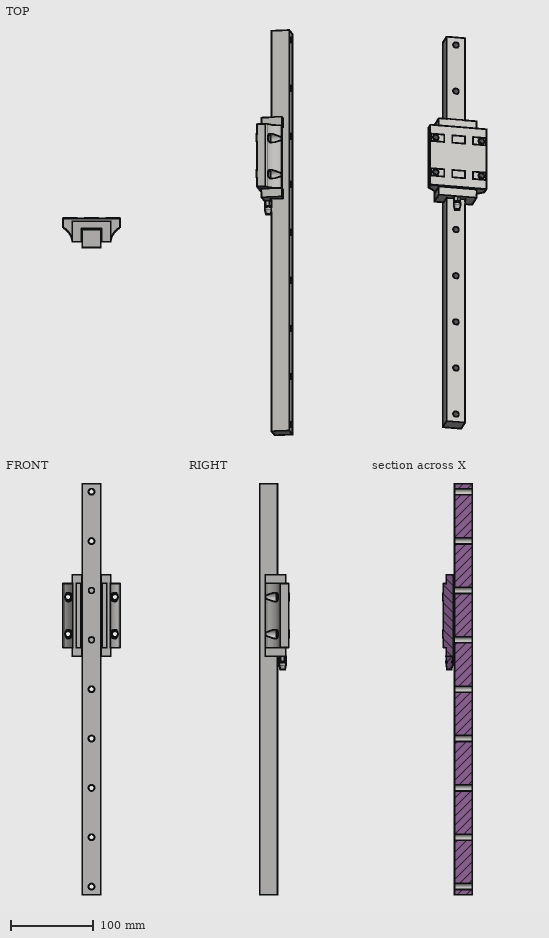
import cadquery as cq

RAIL_LENGTH = 500.0
RAIL_WIDTH = 23.0
RAIL_HEIGHT = 22.0
RAIL_HOLE_DIAMETER = 7.0
RAIL_HOLE_PITCH = 60.0
RAIL_HOLE_COUNT = 9

CARRIAGE_CENTER_Z = 339.5
CARRIAGE_BACK_Y = 35.5
CARRIAGE_FRONT_Y = 7.0
CHANNEL_ROOF_Y = 23.0
CORE_WIDTH = 47.0

BLOCK_LENGTH = 78.5
BLOCK_CHANNEL_WIDTH = 26.0
FLANGE_WIDTH = 70.0
FLANGE_SIDE_END_Y = 25.0
FLANGE_EDGE_BEVEL = 2.0
SWEEP_END_Y = 8.5
SWEEP_RADIUS = 21.0
CORE_BEVEL_WIDTH = 0.5
END_CHAMFER = 0.5

RECESS_WIDTH = 37.0
RECESS_DEPTH = 2.5

CAPPED_LENGTH = 99.5
CAP_LENGTH = (CAPPED_LENGTH - BLOCK_LENGTH) / 2
CAP_BACK_Y = 32.0
CAP_CHANNEL_WIDTH = 24.0

MOUNT_SPACING_X = 57.0
MOUNT_SPACING_Z = 45.0
MOUNT_HOLE_DIAMETER = 7.0
SPOTFACE_DIAMETER = 11.0
SPOTFACE_CONE_START_Y = 20.5
SPOTFACE_CONE_LENGTH = 2.0

PAD_THICKNESS = 0.7
PAD_WIDTH = 16.0
PAD_LENGTH = 9.5
PAD_PITCH_X = 26.0

NIPPLE_Y = 28.0
NIPPLE_HEX_FLATS = 7.5
NIPPLE_HEX_LENGTH = 6.0
NIPPLE_GROOVE_RADIUS = 3.0
NIPPLE_HEAD_START = 7.5
NIPPLE_HEAD_RADIUS = 4.25
NIPPLE_HEAD_END = 10.5
NIPPLE_TIP_RADIUS = 3.0
NIPPLE_LENGTH = 16.0


def box_along_z(width, start_y, end_y, length, center_z, center_x=0):
    """Box from start_y to end_y, centred on center_x and center_z."""
    center = (center_x, (start_y + end_y) / 2, center_z)
    return cq.Workplane("XY").box(width, end_y - start_y, length).translate(center)


def cylinder_along_y(diameter, x, z, start_y, end_y):
    start = cq.Vector(x, start_y, z)
    return cq.Workplane(cq.Solid.makeCylinder(diameter / 2, end_y - start_y, start, cq.Vector(0, 1, 0)))


def make_rail():
    rail = box_along_z(RAIL_WIDTH, 0, RAIL_HEIGHT, RAIL_LENGTH, RAIL_LENGTH / 2)
    first_hole_z = (RAIL_LENGTH - (RAIL_HOLE_COUNT - 1) * RAIL_HOLE_PITCH) / 2
    for index in range(RAIL_HOLE_COUNT):
        hole_z = first_hole_z + index * RAIL_HOLE_PITCH
        rail = rail.cut(cylinder_along_y(RAIL_HOLE_DIAMETER, 0, hole_z, 0, RAIL_HEIGHT))
    return rail


def flanged_block():
    """Block with flanges that sweep down into its core, with a channel for the rail."""
    flange_x = FLANGE_WIDTH / 2
    core_x = CORE_WIDTH / 2
    half = (
        cq.Workplane("XY", origin=(0, 0, CARRIAGE_CENTER_Z - BLOCK_LENGTH / 2))
        .moveTo(0, CARRIAGE_BACK_Y)
        .lineTo(flange_x, CARRIAGE_BACK_Y)
        .lineTo(flange_x, FLANGE_SIDE_END_Y)
        .lineTo(flange_x - FLANGE_EDGE_BEVEL, FLANGE_SIDE_END_Y - FLANGE_EDGE_BEVEL)
        .radiusArc((core_x, SWEEP_END_Y), -SWEEP_RADIUS)
        .lineTo(core_x - CORE_BEVEL_WIDTH, CARRIAGE_FRONT_Y)
        .lineTo(0, CARRIAGE_FRONT_Y)
        .close()
        .extrude(BLOCK_LENGTH)
    )
    block = half.union(half.mirror("YZ"))

    flange_zone = cq.selectors.BoxSelector(
        (-FLANGE_WIDTH, FLANGE_SIDE_END_Y + END_CHAMFER, 0),
        (FLANGE_WIDTH, CARRIAGE_BACK_Y + END_CHAMFER, RAIL_LENGTH),
    )
    block = block.edges(flange_zone).edges("not |Z").chamfer(END_CHAMFER)

    channel = box_along_z(
        BLOCK_CHANNEL_WIDTH, CARRIAGE_FRONT_Y, CHANNEL_ROOF_Y, BLOCK_LENGTH, CARRIAGE_CENTER_Z)
    recess = box_along_z(
        RECESS_WIDTH, CARRIAGE_FRONT_Y, CARRIAGE_FRONT_Y + RECESS_DEPTH, BLOCK_LENGTH, CARRIAGE_CENTER_Z)
    return block.cut(channel).cut(recess)


def end_cap(end):
    """Cap on the upper (end = 1) or lower (end = -1) end of the block."""
    center_z = CARRIAGE_CENTER_Z + end * (BLOCK_LENGTH + CAP_LENGTH) / 2
    cap = box_along_z(CORE_WIDTH, CARRIAGE_FRONT_Y, CAP_BACK_Y, CAP_LENGTH, center_z)
    return cap.cut(box_along_z(CAP_CHANNEL_WIDTH, CARRIAGE_FRONT_Y, CHANNEL_ROOF_Y, CAP_LENGTH, center_z))


def back_pad(column, row_z):
    return box_along_z(
        PAD_WIDTH, CARRIAGE_BACK_Y - PAD_THICKNESS, CARRIAGE_BACK_Y + PAD_THICKNESS,
        PAD_LENGTH, row_z, column * PAD_PITCH_X)


def mounting_hole(x, z):
    cone = cq.Solid.makeCone(
        SPOTFACE_DIAMETER / 2, MOUNT_HOLE_DIAMETER / 2, SPOTFACE_CONE_LENGTH,
        cq.Vector(x, SPOTFACE_CONE_START_Y, z), cq.Vector(0, 1, 0))
    spotface = cylinder_along_y(SPOTFACE_DIAMETER, x, z, 0, SPOTFACE_CONE_START_Y)
    through_hole = cylinder_along_y(MOUNT_HOLE_DIAMETER, x, z, 0, CARRIAGE_BACK_Y + PAD_THICKNESS)
    return spotface.union(cq.Workplane(cone)).union(through_hole)


def make_carriage():
    carriage = flanged_block().union(end_cap(1)).union(end_cap(-1))
    for row in (-1, 1):
        row_z = CARRIAGE_CENTER_Z + row * MOUNT_SPACING_Z / 2
        for column in (-1, 0, 1):
            carriage = carriage.union(back_pad(column, row_z))
        for side in (-1, 1):
            carriage = carriage.cut(mounting_hole(side * MOUNT_SPACING_X / 2, row_z))
    return carriage


def make_nipple():
    """Grease nipple standing on the lower end face of the carriage."""
    base = (0, NIPPLE_Y, CARRIAGE_CENTER_Z - CAPPED_LENGTH / 2)
    neck = (
        cq.Workplane("XY", origin=base)
        .polygon(6, NIPPLE_HEX_FLATS, circumscribed=True)
        .extrude(-NIPPLE_HEX_LENGTH)
    )
    head = (
        cq.Workplane("XZ", origin=base)
        .moveTo(0, -NIPPLE_HEX_LENGTH)
        .lineTo(NIPPLE_GROOVE_RADIUS, -NIPPLE_HEX_LENGTH)
        .lineTo(NIPPLE_GROOVE_RADIUS, -NIPPLE_HEAD_START)
        .lineTo(NIPPLE_HEAD_RADIUS, -NIPPLE_HEAD_START)
        .lineTo(NIPPLE_HEAD_RADIUS, -NIPPLE_HEAD_END)
        .lineTo(NIPPLE_TIP_RADIUS, -NIPPLE_LENGTH)
        .lineTo(0, -NIPPLE_LENGTH)
        .close()
        .revolve(360, (0, 0), (0, 1))
    )
    return neck.union(head)


rail = make_rail().solids()
carriage = make_carriage().solids()
nipple = make_nipple().solids()

result = cq.Compound.makeCompound([rail.val(), carriage.val(), nipple.val()])